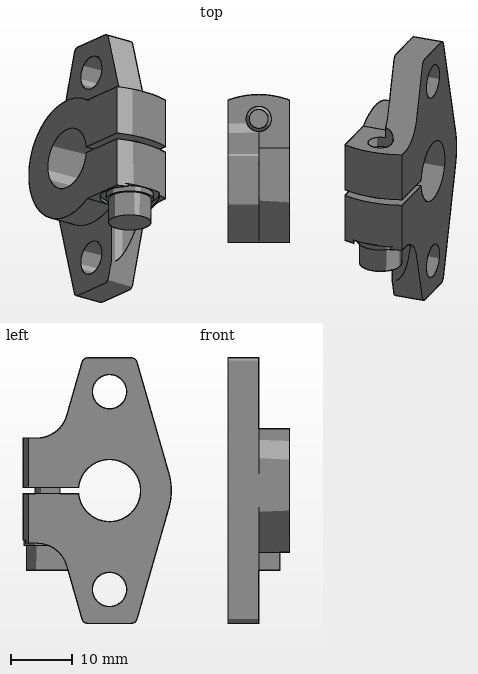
import cadquery as cq
import math


height = 43.0
total_depth = 10.0
plate_thickness = total_depth / 2
hub_radius = 10.0
bore_diameter = 10.0
flank_angle = math.radians(16)
tip_corner_radius = 1.0
mount_hole_diameter = 5.5
mount_hole_offset = 16.0

lug_half_height = 8.5
lug_crown_y = 13.98
lug_edge_y = 13.07
lug_blend_radius = 5.0
slit_width = 1.0

screw_x = total_depth / 2
screw_y = 10.0
shank_diameter = 4.1
tip_chamfer = 0.5
tip_z = 7.1
seat_z = -8.0
seat_diameter = 9.65
washer_diameter = 7.65
washer_thickness = 0.9
head_diameter = 6.9
head_height = 4.0


def flank_y(z):
    """Y of the straight flank, tangent to the hub circle, at a height z."""
    return (hub_radius - z * math.sin(flank_angle)) / math.cos(flank_angle)


def shaft_cylinder(radius, depth):
    """Cylinder along X, centred on the shaft axis."""
    return cq.Workplane("YZ").circle(radius).extrude(depth)


def screw_cylinder(diameter, z_low, z_high):
    """Cylinder on the screw axis between two heights."""
    base = cq.Workplane("XY", origin=(screw_x, screw_y, z_low))
    return base.circle(diameter / 2).extrude(z_high - z_low)


def axis_slab(depth, thickness):
    """Slab from the shaft axis out to the crown, centred in Z."""
    return cq.Workplane("XY").box(depth, lug_crown_y, thickness, centered=(False, False, True))


def make_lug(depth):
    """Block that reaches from the shaft axis out to the crown."""
    return axis_slab(depth, 2 * lug_half_height)


def make_plate():
    """Flange with sloping flanks, rounded tips and blends into the lug."""
    half = height / 2
    tip_y = flank_y(half)
    tangent_y = hub_radius * math.cos(flank_angle)
    tangent_z = hub_radius * math.sin(flank_angle)
    plate = (
        cq.Workplane("YZ")
        .moveTo(-tip_y, half)
        .lineTo(tip_y, half)
        .lineTo(tangent_y, tangent_z)
        .threePointArc((hub_radius, 0), (tangent_y, -tangent_z))
        .lineTo(tip_y, -half)
        .lineTo(-tip_y, -half)
        .lineTo(-tangent_y, -tangent_z)
        .threePointArc((-hub_radius, 0), (-tangent_y, tangent_z))
        .close()
        .extrude(plate_thickness)
    )
    plate = plate.edges("|X and (>Z or <Z)").fillet(tip_corner_radius)
    plate = plate.union(make_lug(plate_thickness))
    middle_x = plate_thickness / 2
    for side in (1, -1):
        corner = (middle_x, flank_y(lug_half_height), side * lug_half_height)
        blend_edge = cq.selectors.NearestToPointSelector(corner)
        plate = plate.edges(blend_edge).fillet(lug_blend_radius)
    return plate


def make_hub():
    """Round boss behind the plate, with its own stretch of the lug."""
    hub_depth = total_depth - plate_thickness
    hub = shaft_cylinder(hub_radius, hub_depth).union(make_lug(hub_depth))
    return hub.translate((plate_thickness, 0, 0))


def make_crown_envelope():
    """Everything inside the bowed end of the lug."""
    return (
        cq.Workplane("XY", origin=(0, 0, -height / 2))
        .moveTo(0, -2 * hub_radius)
        .lineTo(0, lug_edge_y)
        .threePointArc((total_depth / 2, lug_crown_y), (total_depth, lug_edge_y))
        .lineTo(total_depth, -2 * hub_radius)
        .close()
        .extrude(height)
    )


def make_clamp():
    clamp = make_plate().union(make_hub(), clean=False)
    clamp = clamp.intersect(make_crown_envelope(), clean=False)

    clamp = clamp.cut(shaft_cylinder(bore_diameter / 2, total_depth), clean=False)
    slit = axis_slab(total_depth, slit_width)
    clamp = clamp.cut(slit, clean=False)

    for side in (1, -1):
        hole = shaft_cylinder(mount_hole_diameter / 2, plate_thickness)
        clamp = clamp.cut(hole.translate((0, 0, side * mount_hole_offset)), clean=False)

    clamp = clamp.cut(screw_cylinder(shank_diameter, seat_z, height / 2), clean=False)
    return clamp.cut(screw_cylinder(seat_diameter, -height / 2, seat_z), clean=False)


def make_screw():
    """Headed screw with a washer flange and a chamfered tip."""
    washer_bottom = seat_z - washer_thickness
    shank = screw_cylinder(shank_diameter, seat_z, tip_z).faces(">Z").chamfer(tip_chamfer)
    washer = screw_cylinder(washer_diameter, washer_bottom, seat_z)
    head = screw_cylinder(head_diameter, washer_bottom - head_height, washer_bottom)
    return shank.union(washer).union(head)


clamp = make_clamp()
screw = make_screw()
result = cq.Compound.makeCompound([clamp.val(), screw.val()])